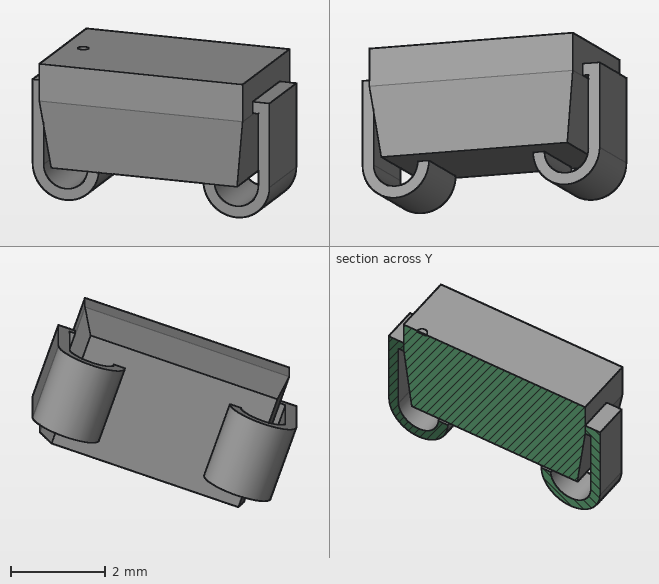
import cadquery as cq

overall_length = 5.36
overall_height = 3.14

housing_length = 4.6
housing_width = 2.9
housing_height = 2.33
upper_height = 0.815
taper_inset = 0.2

lead_width = 1.66
lead_thickness = 0.25
lead_top_drop = 0.545
bend_outer_radius = 0.75

mark_diameter = 0.23
mark_depth = 0.025
mark_x = -1.84

parting_z = overall_height - upper_height
lead_top_z = overall_height - lead_top_drop
lead_outer_x = overall_length / 2
lead_inner_x = lead_outer_x - lead_thickness
housing_end_x = housing_length / 2
bend_center_x = lead_outer_x - bend_outer_radius
bend_center_z = bend_outer_radius
bend_inner_radius = bend_outer_radius - lead_thickness


def make_mark():
    """Flat disc whose top is level with the housing top."""
    return (
        cq.Workplane("XY", origin=(mark_x, 0, overall_height - mark_depth))
        .circle(mark_diameter / 2)
        .extrude(mark_depth)
    )


def make_housing(mark):
    """Upper block and tapered lower block, with a recess for the mark."""
    upper = (
        cq.Workplane("XY", origin=(0, 0, parting_z))
        .rect(housing_length, housing_width)
        .extrude(upper_height)
    )
    lower = (
        cq.Workplane("XY", origin=(0, 0, parting_z))
        .rect(housing_length, housing_width)
        .workplane(offset=upper_height - housing_height)
        .rect(housing_length - 2 * taper_inset, housing_width - 2 * taper_inset)
        .loft(ruled=True, combine=True)
    )
    return upper.union(lower).cut(mark)


def make_lead(side):
    """J-shaped strip at the +X end (side = 1) or the -X end (side = -1)."""
    return (
        cq.Workplane("XZ")
        .moveTo(side * housing_end_x, lead_top_z)
        .lineTo(side * lead_outer_x, lead_top_z)
        .lineTo(side * lead_outer_x, bend_center_z)
        .threePointArc(
            (side * bend_center_x, bend_center_z - bend_outer_radius),
            (side * (bend_center_x - bend_outer_radius), bend_center_z),
        )
        .lineTo(side * (bend_center_x - bend_inner_radius), bend_center_z)
        .threePointArc(
            (side * bend_center_x, bend_center_z - bend_inner_radius),
            (side * lead_inner_x, bend_center_z),
        )
        .lineTo(side * lead_inner_x, lead_top_z - lead_thickness)
        .lineTo(side * housing_end_x, lead_top_z - lead_thickness)
        .close()
        .extrude(lead_width / 2, both=True)
    )


mark = make_mark()
housing = make_housing(mark)
leads = [make_lead(side) for side in (-1, 1)]

bodies = [housing, mark, *leads]
result = cq.Compound.makeCompound([body.solids().val() for body in bodies])